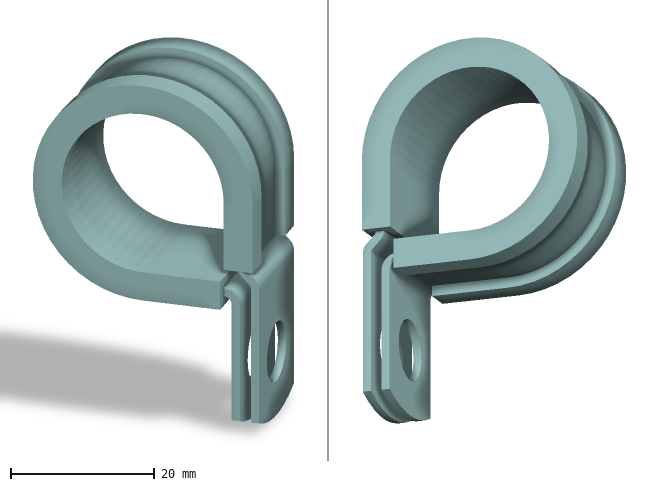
import cadquery as cq
import math

total_height = 51.0
loop_outer_radius = 16.1
loop_bore_radius = 11.9
cushion_width = 18.95
cushion_flange_width = 4.1
upright_leg_length = 10.05
level_leg_length = 11.4

strap_width = 15.8
strap_thickness = 1.2
strap_outer_radius = 14.65
strap_mid_radius = strap_outer_radius - strap_thickness / 2
tab_bottom = loop_outer_radius - total_height
tab_end_sagitta = 1.75
inner_tab_mid_x = 13.15
outer_tab_mid_x = 15.95
jog_bend_radius = 1.2
jog_angle = math.radians(45)

hole_diameter = 8.8
hole_height = 9.55


def loop_band(outer_radius, width):
    """Three-quarter ring with two straight legs around the bore, centred on Y = 0."""
    diagonal = math.sqrt(0.5)
    return (
        cq.Workplane("XZ")
        .moveTo(outer_radius, -upright_leg_length)
        .lineTo(outer_radius, 0)
        .threePointArc((-outer_radius * diagonal, outer_radius * diagonal), (0, -outer_radius))
        .lineTo(level_leg_length, -outer_radius)
        .lineTo(level_leg_length, -loop_bore_radius)
        .lineTo(0, -loop_bore_radius)
        .threePointArc((-loop_bore_radius * diagonal, loop_bore_radius * diagonal), (loop_bore_radius, 0))
        .lineTo(loop_bore_radius, -upright_leg_length)
        .close()
        .extrude(width / 2, both=True)
    )


def make_cushion():
    """Lining with a flange along each edge and a groove between them."""
    core = loop_band(strap_outer_radius, cushion_width)
    flange = loop_band(loop_outer_radius, cushion_flange_width)
    offset = (cushion_width - cushion_flange_width) / 2
    return core.union(flange.translate((0, offset, 0))).union(flange.translate((0, -offset, 0)))


def make_strap():
    """Strip swept along its centreline: outer tab, jog, loop, bend, inner tab."""
    bend_shift = jog_bend_radius * (1 - math.cos(jog_angle))
    bend_drop = jog_bend_radius * math.sin(jog_angle)
    half_bend_shift = jog_bend_radius * (1 - math.cos(jog_angle / 2))
    half_bend_drop = jog_bend_radius * math.sin(jog_angle / 2)
    slope_shift = outer_tab_mid_x - strap_mid_radius - 2 * bend_shift
    slope_drop = slope_shift / math.tan(jog_angle)
    jog_top = -upright_leg_length
    jog_bottom = jog_top - 2 * bend_drop - slope_drop

    turn_radius = inner_tab_mid_x - level_leg_length
    turn_z = -strap_mid_radius - turn_radius
    diagonal = math.sqrt(0.5)
    path = (
        cq.Workplane("XZ")
        .moveTo(outer_tab_mid_x, tab_bottom)
        .lineTo(outer_tab_mid_x, jog_bottom)
        .threePointArc(
            (outer_tab_mid_x - half_bend_shift, jog_bottom + half_bend_drop),
            (outer_tab_mid_x - bend_shift, jog_bottom + bend_drop),
        )
        .lineTo(strap_mid_radius + bend_shift, jog_top - bend_drop)
        .threePointArc(
            (strap_mid_radius + half_bend_shift, jog_top - half_bend_drop),
            (strap_mid_radius, jog_top),
        )
        .lineTo(strap_mid_radius, 0)
        .threePointArc(
            (-strap_mid_radius * diagonal, strap_mid_radius * diagonal),
            (0, -strap_mid_radius),
        )
        .lineTo(level_leg_length, -strap_mid_radius)
        .threePointArc(
            (level_leg_length + turn_radius * diagonal, turn_z + turn_radius * diagonal),
            (inner_tab_mid_x, turn_z),
        )
        .lineTo(inner_tab_mid_x, tab_bottom)
    )
    strap = (
        cq.Workplane("XY", origin=(outer_tab_mid_x, 0, tab_bottom))
        .rect(strap_thickness, strap_width)
        .sweep(path)
    )
    return strap.intersect(make_tab_outline()).cut(make_bolt_hole())


def make_tab_outline():
    """Side silhouette of the strap, with the rounded end of the tabs."""
    half_width = strap_width / 2
    corner_z = tab_bottom + tab_end_sagitta
    return (
        cq.Workplane("YZ")
        .moveTo(-half_width, loop_outer_radius)
        .lineTo(-half_width, corner_z)
        .threePointArc((0, tab_bottom), (half_width, corner_z))
        .lineTo(half_width, loop_outer_radius)
        .close()
        .extrude(total_height, both=True)
    )


def make_bolt_hole():
    """Cylinder along X that passes through both tabs."""
    return (
        cq.Workplane("YZ")
        .center(0, tab_bottom + hole_height)
        .circle(hole_diameter / 2)
        .extrude(total_height)
    )


result = make_cushion().union(make_strap())